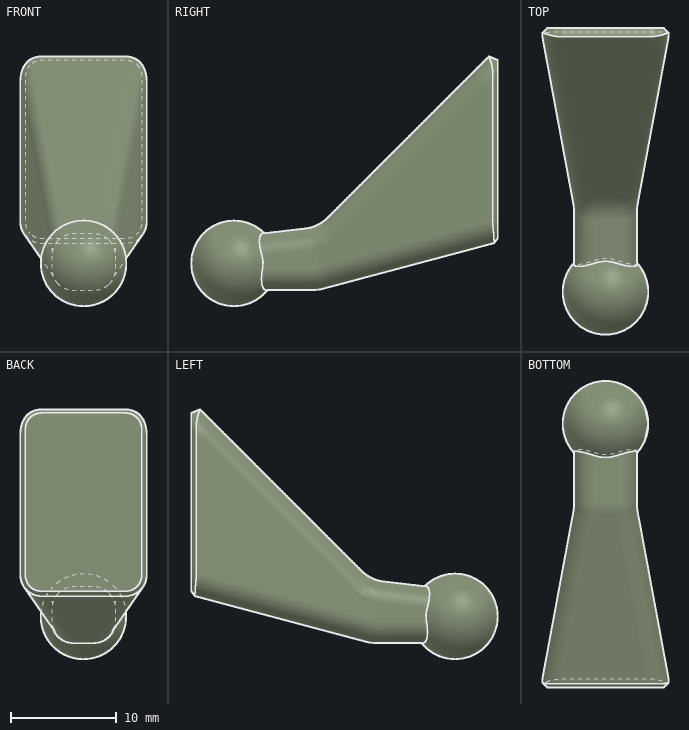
import cadquery as cq
import math

ball_radius = 4.07
back_y = 24.98
neck_end_y = 8.0
flare_end_y = 24.2

neck_half_width = 3.0
pad_width = 12.0
pad_half_width = pad_width / 2
neck_bottom_z = -2.53
neck_tip_top_z = 2.53
pad_bottom_z = 2.0
top_slope = 45.0
pad_top_z = 20.45

edge_radius = 2.0
bend_radius = 3.5
rim_offset = 0.5
overrun = 4.35
bevel_depth = 1.45
rim_corner_radius = 1.5
pick_margin = 0.3


def side_profile():
    """Side outline of the arm, extruded across its full width, with rounded bends."""
    arm_length = back_y - neck_end_y
    top_rise = math.tan(math.radians(top_slope))
    bottom_rise = (pad_bottom_z - neck_bottom_z) / arm_length
    neck_top_z = pad_top_z - arm_length * top_rise
    outline = [
        (0, neck_bottom_z),
        (neck_end_y, neck_bottom_z),
        (back_y + overrun, pad_bottom_z + overrun * bottom_rise),
        (back_y + overrun, pad_top_z + overrun * top_rise),
        (neck_end_y, neck_top_z),
        (0, neck_tip_top_z),
    ]
    solid = cq.Workplane("YZ").polyline(outline).close().extrude(pad_half_width, both=True)
    bends = solid.edges("|X").edges(
        cq.selectors.BoxSelector(
            (-pad_half_width, neck_end_y - pick_margin, neck_bottom_z - pick_margin),
            (pad_half_width, neck_end_y + pick_margin, pad_top_z),
        )
    )
    return bends.fillet(bend_radius)


def plan_profile():
    """Width of the arm seen from above, extruded through its height, with rounded bends."""
    outline = [
        (neck_half_width, 0),
        (neck_half_width, neck_end_y),
        (pad_half_width, flare_end_y),
        (pad_half_width, back_y + overrun),
    ]
    mirrored = [(-x, y) for x, y in reversed(outline)]
    solid = (
        cq.Workplane("XY", origin=(0, 0, neck_bottom_z))
        .polyline(outline + mirrored)
        .close()
        .extrude(pad_top_z + 2 * overrun - neck_bottom_z)
    )
    bends = solid.edges("|Z").edges(
        cq.selectors.BoxSelector(
            (-pad_half_width - pick_margin, neck_end_y - pick_margin, neck_bottom_z),
            (pad_half_width + pick_margin, flare_end_y + pick_margin, pad_top_z + 2 * overrun),
        )
    )
    return bends.fillet(bend_radius)


def rounded_arm():
    """Arm with its four lengthwise edges rounded."""
    arm = side_profile().intersect(plan_profile())
    long_edges = arm.edges("not(|X or |Z)")
    return long_edges.fillet(edge_radius)


def rim_envelope():
    """Tapered block whose flanks bisect the back face and the faces around it."""
    bottom_slope = math.atan2(pad_bottom_z - neck_bottom_z, back_y - neck_end_y)
    bottom_angle = math.pi / 2 + bottom_slope
    top_angle = math.pi / 2 - math.radians(top_slope)
    back_half_width = pad_half_width - rim_offset
    back_bottom_z = pad_bottom_z + rim_offset / math.tan(bottom_angle / 2)
    back_top_z = pad_top_z - rim_offset / math.tan(top_angle / 2)

    def section(depth):
        half_width = back_half_width + depth
        bottom_z = back_bottom_z - depth * math.tan(bottom_angle / 2)
        top_z = back_top_z + depth * math.tan(top_angle / 2)
        return (
            cq.Sketch()
            .push([(0, (bottom_z + top_z) / 2)])
            .rect(2 * half_width, top_z - bottom_z)
            .reset()
            .vertices()
            .fillet(rim_corner_radius + depth)
        )

    inner_section = section(bevel_depth).moved(cq.Location(cq.Vector(0, 0, bevel_depth)))
    return (
        cq.Workplane("XZ", origin=(0, back_y, 0))
        .placeSketch(section(0), inner_section)
        .loft()
    )


def bevel_rim(arm):
    """Trim the arm at the back face and bevel the rim left there."""
    back_slab = (
        cq.Workplane("XZ", origin=(0, back_y - bevel_depth, 0))
        .rect(4 * pad_half_width, 4 * pad_top_z)
        .extrude(-2 * (bevel_depth + overrun))
    )
    return arm.cut(back_slab.cut(rim_envelope()))


ball = cq.Workplane("XY").sphere(ball_radius)
result = bevel_rim(rounded_arm()).union(ball)